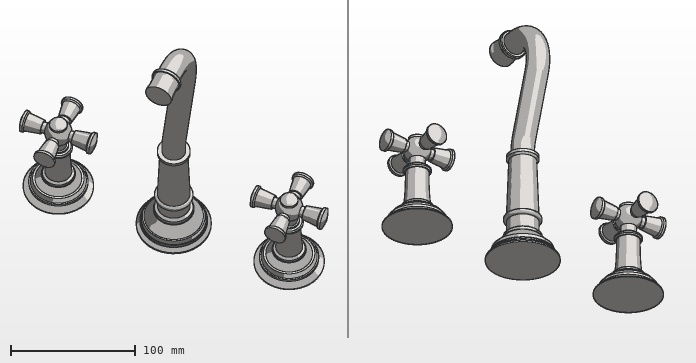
import cadquery as cq
import math


overall_width = 264.2
handle_reach = 32.2
handle_offset = overall_width / 2 - handle_reach

foot_radius = 30.0
foot_rim_height = 1.3
foot_top_radius = 27.2
foot_top = 4.5
band_radius = 26.7
band_top = 6.5
skirt_bottom_radius = 26.0
skirt_top_radius = 25.0
skirt_top = 10.5
flare_radius = 23.8
flare_neck_radius = 16.5
flare_top = 20.0
step_radius = 15.5
step_edge_top = 23.0
column_radius = 13.2
column_bottom = 24.8
column_bead_radius = 15.5
column_bead_bottom = 36.0
column_bead_top = 40.7
column_top_radius = 11.4
column_top = 92.7
collar_radius = 13.2
collar_edge_bottom = 94.3
collar_top = 97.0

tube_radius = 9.5
lean_angle = 20.0
lower_bend_radius = 31.7
upper_bend_radius = 32.2
spout_height = 209.0
upper_bend_y = -9.2

nozzle_collar_radius = 12.2
nozzle_collar_back = 13.2
nozzle_collar_bevel = 0.8
nozzle_collar_front = 16.5
nozzle_shoulder_radius = 11.0
nozzle_shoulder_front = 18.2
nozzle_barrel_radius = 10.5
nozzle_barrel_front = 27.2
nozzle_lip_radius = 11.0
nozzle_lip_back = 29.5
nozzle_front = 32.5

base_radius = 28.3
base_rim_height = 0.8
base_top_radius = 23.8
base_top = 5.0
base_band_top = 7.1
base_skirt_bottom_radius = 22.5
base_skirt_top_radius = 20.5
base_skirt_top = 10.8
base_flare_radius = 18.8
base_neck_radius = 13.7
base_neck_height = 16.5
post_step_radius = 13.0
post_step_top = 18.5
post_bottom_radius = 10.8
post_bottom = 20.0
post_top_radius = 9.5
post_waist_radius = 9.8
post_top = 50.5
post_collar_radius = 11.4
post_collar_bevel = 1.0
post_collar_top = 54.0
post_cap_radius = 8.2
post_cap_top = 55.5
stem_radius = 6.5

hub_height = 71.5
hub_radius = 11.0
button_radius = 7.1
button_edge_top = 82.2
button_face_radius = 5.8
button_face_height = 83.0
button_top = 84.0
arm_count = 4
arm_neck_radius = 4.5
arm_neck_end = 13.5
arm_root_radius = 5.8
arm_flare_radius = 7.7
arm_flare_end = 27.0
arm_rim_radius = 9.0
arm_rim_start = 28.0
arm_rim_end = 30.0
arm_face_radius = 5.8
arm_face_start = 31.2


def turned(profile):
    """Solid of revolution about Z; the open profile starts and ends on the axis."""
    return profile.close().revolve(360, (0, 0, 0), (0, 1, 0))


def start_profile(height):
    """Begin a (radius, height) profile on the axis at the given height."""
    return cq.Workplane("XZ").moveTo(0, height)


def domed_end(profile, face_radius, face_height, crown_height):
    """Finish a profile with a bevel up to a shallow spherical cap that ends on the axis."""
    rise = crown_height - face_height
    cap_radius = (face_radius ** 2 + rise ** 2) / (2 * rise)
    half_angle = math.asin(face_radius / cap_radius) / 2
    middle_height = crown_height - cap_radius * (1 - math.cos(half_angle))
    return (
        profile
        .lineTo(face_radius, face_height)
        .threePointArc((cap_radius * math.sin(half_angle), middle_height), (0, crown_height))
    )


def pedestal():
    bead_middle = (column_bead_bottom + column_bead_top) / 2
    return turned(
        start_profile(0)
        .lineTo(foot_radius, 0)
        .lineTo(foot_radius, foot_rim_height)
        .lineTo(foot_top_radius, foot_top)
        .lineTo(band_radius, foot_top)
        .lineTo(band_radius, band_top)
        .lineTo(skirt_bottom_radius, band_top)
        .lineTo(skirt_top_radius, skirt_top)
        .lineTo(flare_radius, skirt_top)
        .lineTo(flare_neck_radius, flare_top)
        .lineTo(step_radius, flare_top)
        .lineTo(step_radius, step_edge_top)
        .lineTo(column_radius, column_bottom)
        .lineTo(column_radius, column_bead_bottom)
        .threePointArc((column_bead_radius, bead_middle), (column_radius, column_bead_top))
        .lineTo(column_top_radius, column_top)
        .lineTo(collar_radius, collar_edge_bottom)
        .lineTo(collar_radius, collar_top)
        .lineTo(0, collar_top)
    )


def tube():
    lean = math.radians(lean_angle)

    def on_lower_bend(angle):
        y = lower_bend_radius * (1 - math.cos(angle))
        return y, lower_bend_start + lower_bend_radius * math.sin(angle)

    def on_upper_bend(angle):
        y = upper_bend_y + upper_bend_radius * math.cos(angle)
        return y, spout_height - upper_bend_radius + upper_bend_radius * math.sin(angle)

    lean_top = on_upper_bend(-lean)
    lean_run = lean_top[0] - lower_bend_radius * (1 - math.cos(lean))
    lean_bottom_height = lean_top[1] - lean_run / math.tan(lean)
    lower_bend_start = lean_bottom_height - lower_bend_radius * math.sin(lean)

    path = (
        cq.Workplane("YZ")
        .moveTo(0, collar_top)
        .lineTo(0, lower_bend_start)
        .threePointArc(on_lower_bend(lean / 2), on_lower_bend(lean))
        .lineTo(*lean_top)
        .threePointArc(on_upper_bend(math.pi / 4), on_upper_bend(math.pi / 2))
        .lineTo(-nozzle_collar_back, spout_height)
    )
    return cq.Workplane("XY", origin=(0, 0, collar_top)).circle(tube_radius).sweep(path)


def nozzle():
    upright = turned(
        start_profile(nozzle_collar_back)
        .lineTo(nozzle_collar_radius - nozzle_collar_bevel, nozzle_collar_back)
        .lineTo(nozzle_collar_radius, nozzle_collar_back + nozzle_collar_bevel)
        .lineTo(nozzle_collar_radius, nozzle_collar_front)
        .lineTo(nozzle_shoulder_radius, nozzle_collar_front)
        .lineTo(nozzle_barrel_radius, nozzle_shoulder_front)
        .lineTo(nozzle_barrel_radius, nozzle_barrel_front)
        .lineTo(nozzle_lip_radius, nozzle_lip_back)
        .lineTo(nozzle_lip_radius, nozzle_front)
        .lineTo(0, nozzle_front)
    )
    return upright.rotate((0, 0, 0), (1, 0, 0), 90).translate((0, 0, spout_height))


def make_spout():
    return pedestal().union(tube()).union(nozzle())


def handle_post():
    return turned(
        start_profile(0)
        .lineTo(base_radius, 0)
        .lineTo(base_radius, base_rim_height)
        .lineTo(base_top_radius, base_top)
        .lineTo(base_top_radius, base_band_top)
        .lineTo(base_skirt_bottom_radius, base_band_top)
        .lineTo(base_skirt_top_radius, base_skirt_top)
        .lineTo(base_flare_radius, base_skirt_top)
        .lineTo(base_neck_radius, base_neck_height)
        .lineTo(post_step_radius, base_neck_height)
        .lineTo(post_step_radius, post_step_top)
        .lineTo(post_bottom_radius, post_bottom)
        .threePointArc((post_waist_radius, (post_bottom + post_top) / 2), (post_top_radius, post_top))
        .lineTo(post_collar_radius - post_collar_bevel, post_top)
        .lineTo(post_collar_radius, post_top + post_collar_bevel)
        .lineTo(post_collar_radius, post_collar_top - post_collar_bevel)
        .lineTo(post_collar_radius - post_collar_bevel, post_collar_top)
        .lineTo(post_cap_radius, post_collar_top)
        .lineTo(post_cap_radius, post_cap_top)
        .lineTo(stem_radius, post_cap_top)
        .lineTo(stem_radius, hub_height)
        .lineTo(0, hub_height)
    )


def hub():
    ball = cq.Workplane("XY").sphere(hub_radius).translate((0, 0, hub_height))
    button = turned(
        domed_end(
            start_profile(hub_height)
            .lineTo(button_radius, hub_height)
            .lineTo(button_radius, button_edge_top),
            button_face_radius, button_face_height, button_top,
        )
    )
    return ball.union(button)


def arm():
    """One arm, pointing up from the hub centre at the origin."""
    return turned(
        domed_end(
            start_profile(0)
            .lineTo(arm_neck_radius, 0)
            .lineTo(arm_neck_radius, arm_neck_end)
            .lineTo(arm_root_radius, arm_neck_end)
            .lineTo(arm_flare_radius, arm_flare_end)
            .lineTo(arm_rim_radius, arm_rim_start)
            .lineTo(arm_rim_radius, arm_rim_end),
            arm_face_radius, arm_face_start, handle_reach,
        )
    )


def make_handle(x):
    handle = handle_post().union(hub())
    sideways_arm = arm().rotate((0, 0, 0), (0, 1, 0), 90).translate((0, 0, hub_height))
    for index in range(arm_count):
        turn = index * 360 / arm_count
        handle = handle.union(sideways_arm.rotate((0, 0, 0), (0, 0, 1), turn))
    return handle.translate((x, 0, 0))


spout = make_spout()
handles = [make_handle(x) for x in (-handle_offset, handle_offset)]

result = cq.Compound.makeCompound([spout.val(), *(handle.val() for handle in handles)])